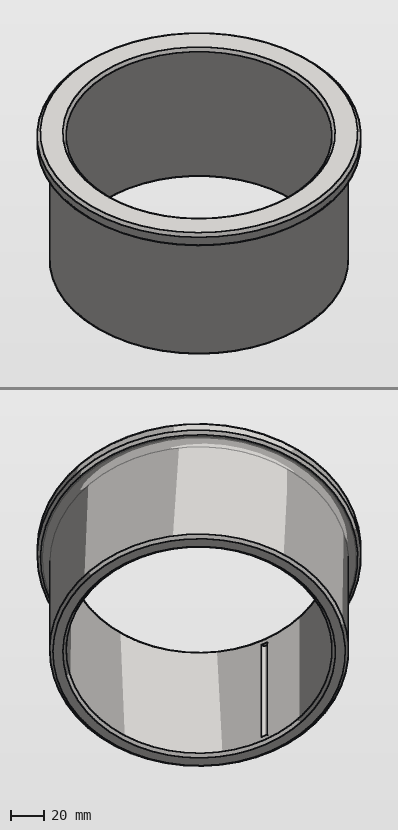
import cadquery as cq

bore_diameter = 160.0
sleeve_diameter = 180.0
flange_diameter = 195.0
total_height = 100.0
flange_thickness = 10.0
edge_chamfer = 2.0
neck_fillet_radius = 4.5
groove_radius = 2.0
groove_end_margin = 6.0

bore_radius = bore_diameter / 2
sleeve_radius = sleeve_diameter / 2
flange_radius = flange_diameter / 2
flange_bottom = total_height - flange_thickness
neck_bottom = flange_bottom - neck_fillet_radius
groove_length = total_height - 2 * groove_end_margin


def bushing_body():
    """Flanged bushing, revolved from a half section that starts at the bore."""
    half_section = (
        cq.Workplane("XZ")
        .moveTo(bore_radius + edge_chamfer, 0)
        .lineTo(sleeve_radius - edge_chamfer, 0)
        .lineTo(sleeve_radius, edge_chamfer)
        .lineTo(sleeve_radius, neck_bottom)
        .radiusArc((sleeve_radius + neck_fillet_radius, flange_bottom), neck_fillet_radius)
        .lineTo(flange_radius - edge_chamfer, flange_bottom)
        .lineTo(flange_radius, flange_bottom + edge_chamfer)
        .lineTo(flange_radius, total_height - edge_chamfer)
        .lineTo(flange_radius - edge_chamfer, total_height)
        .lineTo(bore_radius + edge_chamfer, total_height)
        .lineTo(bore_radius, total_height - edge_chamfer)
        .lineTo(bore_radius, edge_chamfer)
        .close()
    )
    return half_section.revolve(360, (0, 0, 0), (0, 1, 0))


def bore_groove():
    """Round-bottomed axial groove on the +X side of the bore, closed at both ends."""
    return (
        cq.Workplane("XY", origin=(bore_radius, 0, groove_end_margin))
        .circle(groove_radius)
        .extrude(groove_length)
    )


result = bushing_body().cut(bore_groove())